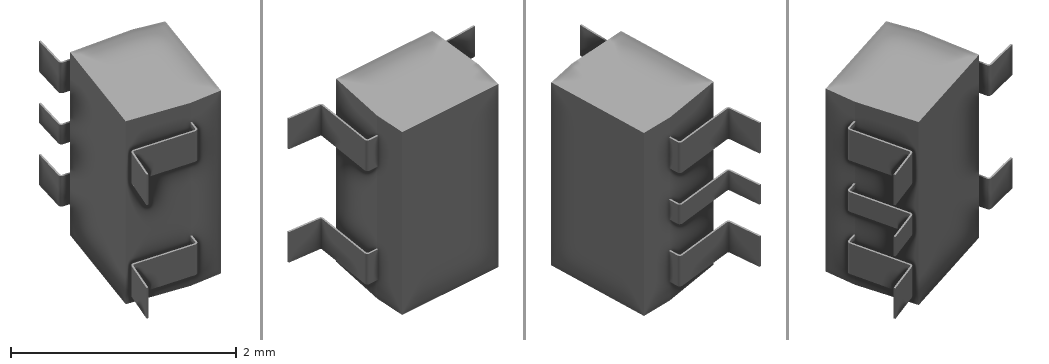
import cadquery as cq
import math

span = 2.1
height = 2.1
depth = 1.0

body_depth = 0.95
seam_width = 1.15
face_width = 1.085
seam_drop = 0.317
back_y = depth / 2
front_y = back_y - body_depth
seam_y = back_y - seam_drop

lead_drop = 0.305
thickness = 0.0178
outer_bend = 0.034
inner_bend = outer_bend - thickness
shank_x = 0.704
foot_angle = 3.6
root_inset = 0.042
wide_lead = 0.35
narrow_lead = 0.225
lead_pitch = 0.65


def make_body():
    """Hexagonal prism, tapering from the seam to both flat faces."""
    outline = [
        (-face_width / 2, back_y),
        (face_width / 2, back_y),
        (seam_width / 2, seam_y),
        (face_width / 2, front_y),
        (-face_width / 2, front_y),
        (-seam_width / 2, seam_y),
    ]
    return cq.Workplane("XY").polyline(outline).close().extrude(height / 2, both=True)


def make_lead(width, z):
    """Bent strip on the +X side: out of the seam, forward, then out along the tilted foot."""
    root_x = seam_width / 2 - root_inset
    tip_x = span / 2
    tip_y = -depth / 2
    inner_x = shank_x - thickness
    slope = math.tan(math.radians(foot_angle))
    foot_rise = thickness / math.cos(math.radians(foot_angle))
    under_y = tip_y + slope * (tip_x - inner_x)
    upper_y = tip_y + foot_rise + slope * (tip_x - shank_x)
    top_y = back_y - lead_drop
    outline = [
        (root_x, top_y),
        (shank_x, top_y),
        (shank_x, upper_y),
        (tip_x, tip_y + foot_rise),
        (tip_x, tip_y),
        (inner_x, under_y),
        (inner_x, top_y - thickness),
        (root_x, top_y - thickness),
    ]
    strip = cq.Workplane("XY").polyline(outline).close().extrude(width / 2, both=True)
    outer_corners = [(shank_x, top_y), (inner_x, under_y)]
    inner_corners = [(shank_x, upper_y), (inner_x, top_y - thickness)]
    for corners, radius in ((outer_corners, outer_bend), (inner_corners, inner_bend)):
        for x, y in corners:
            edge = cq.selectors.NearestToPointSelector((x, y, 0))
            strip = strip.edges("|Z").edges(edge).fillet(radius)
    return strip.translate((0, 0, z))


result = make_body()
for lead_z in (-lead_pitch, lead_pitch):
    corner_lead = make_lead(wide_lead, lead_z)
    result = result.union(corner_lead)
    result = result.union(corner_lead.mirror("YZ"))

result = result.union(make_lead(narrow_lead, 0).mirror("YZ"))